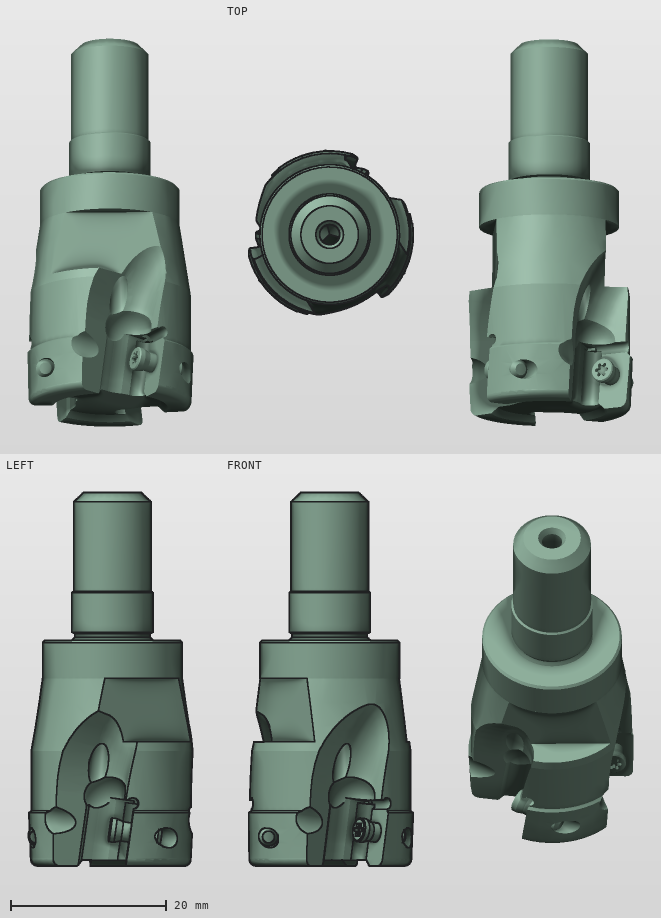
import cadquery as cq
import math


total_height = 48.0
shank_radius = 5.0
shank_tip_radius = 3.7
shank_tip_height = 1.25
collar_radius = 5.25
collar_top = 35.3
collar_bottom = 30.05
collar_chamfer = 0.2
neck_radius = 4.85
neck_bottom = 29.4
flange_radius = 9.0
flange_top = 29.0
flange_chamfer = 0.3
cone_top = 24.1
cone_bottom = 14.8
head_radius = 10.4
rim_top = 7.1
rim_step = 0.3
rim_top_radius = 10.75
rim_bottom_radius = 10.5
rim_corner = 0.95
dish_radius = 7.45
dish_core_radius = 6.6
dish_depth = 0.75

flat_distance = 7.0
flat_bottom = 15.95
flat_angle = 32.4

bore_radius = 1.3
bore_mouth_radius = 1.8
bore_mouth_depth = 0.7
bore_bottom = 37.45
coolant_radius = 1.25
coolant_exit_radius = 6.67
coolant_exit_height = 12.2
coolant_exit_angle = -76.0
coolant_overrun = 0.15

tooth_count = 3
tooth_angle = -59.0
axial_rake = 8.0
reach = 16.35
drop = 5.75

gullet_floor = 3.6
gullet_floor_angle = 22.5
gullet_wall = -3.6
gullet_wall_height = 9.65
gullet_wall_lean = 15.0
gullet_fillet = 3.4
runout_start = 8.65
runout_radius = 19.45
runout_sweep = 90.0

seat_depth = 1.55
pocket_top = 8.65
pocket_wall = [(5.8, -4.5), (5.35, -4.15), (4.75, -2.85), (4.45, -1.8), (4.45, -0.75)]
pocket_inner = 4.2
corner_relief_radius = 1.15
corner_relief_x = 5.25
corner_relief_y = 1.15
seat_relief_radius = 0.7
seat_relief_y = 1.35
seat_relief_z = 8.3
top_relief_radius = 3.0
top_relief_centre = (7.3, -2.3, 8.65)

screw_x = 7.95
screw_z = 4.55
screw_radius = 1.25
screw_head_radius = 1.55
screw_head_chamfer = 0.15
screw_head_rim = 0.75
screw_head_length = 1.65
screw_start = -1.15
screw_end = 5.55
screw_end_radius = 0.75
driver_hole_radius = 1.85
driver_hole_x = 8.05
driver_hole_z = 4.75
socket_radius = 0.62
socket_lobe_count = 6
socket_lobe_radius = 0.25
socket_lobe_circle = 0.7
socket_depth = 0.65


def to_tooth(shape, index):
    """Move a shape from the tooth frame to its place on tooth number `index`."""
    turn = tooth_angle + index * 360 / tooth_count
    leaning = shape.rotate((0, 0, 0), (1, 0, 0), -axial_rake)
    return leaning.rotate((0, 0, 0), (0, 0, 1), turn)


def along_seat_normal(x, z, y_start, y_end, radius):
    """Cylinder at right angles to the seat, in the tooth frame."""
    start = cq.Workplane("XZ", origin=(x, y_start, z))
    return start.circle(radius).extrude(y_start - y_end)


def make_blank():
    """Turned blank with shank, collar, flange, head and the recess in the cutting end."""
    outline = (
        cq.Workplane("XZ")
        .moveTo(0, dish_depth)
        .lineTo(dish_core_radius, dish_depth)
        .lineTo(dish_radius, 0)
        .lineTo(rim_bottom_radius - rim_corner, 0)
        .radiusArc((rim_bottom_radius, rim_corner), -rim_corner)
        .lineTo(rim_top_radius, rim_top - rim_step)
        .lineTo(head_radius, rim_top)
        .lineTo(head_radius, cone_bottom)
        .lineTo(flange_radius, cone_top)
        .lineTo(flange_radius, flange_top - flange_chamfer)
        .lineTo(flange_radius - flange_chamfer, flange_top)
        .lineTo(neck_radius + neck_bottom - flange_top, flange_top)
        .lineTo(neck_radius, neck_bottom)
        .lineTo(neck_radius, collar_bottom - (collar_radius - neck_radius) / 2)
        .lineTo(collar_radius, collar_bottom)
        .lineTo(collar_radius, collar_top - collar_chamfer)
        .lineTo(shank_radius, collar_top)
        .lineTo(shank_radius, total_height - shank_tip_height)
        .lineTo(shank_tip_radius, total_height)
        .lineTo(0, total_height)
        .close()
    )
    return outline.revolve(360, (0, 0, 0), (0, 1, 0))


def make_wrench_flats():
    """Two opposite blocks that leave the wrench flats."""
    height = cone_top - flat_bottom
    width = 2 * reach
    block = cq.Workplane("XY", origin=(0, 0, flat_bottom)).box(
        reach, width, height, centered=(False, True, False)
    )
    block = block.translate((flat_distance, 0, 0)).rotate((0, 0, 0), (0, 0, 1), flat_angle)
    return block.union(block.rotate((0, 0, 0), (0, 0, 1), 180))


def make_bore():
    """Central coolant bore with a conical mouth."""
    bore = cq.Workplane("XY", origin=(0, 0, bore_bottom)).circle(bore_radius)
    bore = bore.extrude(total_height - bore_bottom)
    mouth = cq.Solid.makeCone(
        bore_radius, bore_mouth_radius, bore_mouth_depth,
        pnt=cq.Vector(0, 0, total_height - bore_mouth_depth),
    )
    return bore.union(cq.Workplane(mouth))


def make_coolant_hole(index):
    """Slanted hole from the bottom of the bore to one gullet."""
    angle = math.radians(coolant_exit_angle + index * 360 / tooth_count)
    start = cq.Vector(0, 0, bore_bottom)
    mouth = cq.Vector(
        coolant_exit_radius * math.cos(angle),
        coolant_exit_radius * math.sin(angle),
        coolant_exit_height,
    )
    axis = mouth - start
    length = axis.Length * (1 + coolant_overrun)
    return cq.Workplane(cq.Solid.makeCylinder(coolant_radius, length, start, axis))


def make_gullet():
    """Chip gullet: a straight stretch and an arc that runs out through the head."""
    slope = math.tan(math.radians(gullet_wall_lean))

    def wall_at(height):
        return gullet_wall + (gullet_wall_height - height) * slope

    section = cq.Workplane("XY", origin=(0, 0, -drop)).polyline(
        [
            (gullet_floor, -reach),
            (gullet_floor, wall_at(gullet_floor)),
            (reach, wall_at(reach)),
            (reach, -reach),
        ]
    ).close()
    corner = cq.NearestToPointSelector((gullet_floor, wall_at(gullet_floor), 0))
    straight = section.extrude(drop + runout_start).edges("|Z").edges(corner)
    straight = straight.fillet(gullet_fillet)
    centre = gullet_floor + runout_radius
    runout = straight.faces(">Z").wires().toPending().workplane(origin=(0, 0, runout_start))
    runout = runout.revolve(runout_sweep, (centre, 0, 0), (centre, 1, 0), combine=False)
    return straight.union(runout).rotate((0, 0, 0), (0, 0, 1), gullet_floor_angle)


def make_pocket():
    """Insert pocket with its corner, seat and top reliefs."""
    step, edge, arc_start, arc_middle, arc_end = pocket_wall
    pocket = (
        cq.Workplane("XY", origin=(0, 0, -drop))
        .moveTo(*step)
        .lineTo(*edge)
        .lineTo(*arc_start)
        .threePointArc(arc_middle, arc_end)
        .lineTo(pocket_inner, seat_depth)
        .lineTo(reach, seat_depth)
        .lineTo(reach, step[1])
        .close()
        .extrude(drop + pocket_top)
    )
    corner_relief = (
        cq.Workplane("XY", origin=(corner_relief_x, corner_relief_y, -drop))
        .circle(corner_relief_radius)
        .extrude(drop + seat_relief_z)
    )
    seat_relief = (
        cq.Workplane("YZ", origin=(corner_relief_x, seat_relief_y, seat_relief_z))
        .circle(seat_relief_radius)
        .extrude(reach)
    )
    top_relief = cq.Workplane().sphere(top_relief_radius).translate(top_relief_centre)
    for relief in (corner_relief, seat_relief, top_relief):
        pocket = pocket.union(relief)
    return pocket


def make_screw():
    """Clamping screw with a six-lobed socket, in the tooth frame."""
    outline = (
        cq.Workplane("XY")
        .moveTo(0, screw_start)
        .lineTo(screw_head_radius - screw_head_chamfer, screw_start)
        .lineTo(screw_head_radius, screw_start + screw_head_chamfer)
        .lineTo(screw_head_radius, screw_start + screw_head_rim)
        .lineTo(screw_radius, screw_start + screw_head_length)
        .lineTo(screw_radius, screw_end - screw_radius + screw_end_radius)
        .lineTo(screw_end_radius, screw_end)
        .lineTo(0, screw_end)
        .close()
    )
    screw = outline.revolve(360, (0, 0, 0), (0, 1, 0))
    face = cq.Workplane("XZ", origin=(0, screw_start, 0))
    socket = face.circle(socket_radius).extrude(-socket_depth)
    lobes = face.polarArray(socket_lobe_circle, 0, 360, socket_lobe_count).circle(socket_lobe_radius)
    screw = screw.cut(socket).cut(lobes.extrude(-socket_depth))
    return screw.translate((screw_x, 0, screw_z))


def make_body():
    """Cutter body with everything cut from the blank."""
    body = make_blank().cut(make_wrench_flats()).cut(make_bore())
    gullet = make_gullet()
    pocket = make_pocket()
    screw_hole = along_seat_normal(screw_x, screw_z, 0, reach, screw_radius)
    driver_hole = along_seat_normal(
        driver_hole_x, driver_hole_z, -reach, screw_start, driver_hole_radius
    )
    for index in range(tooth_count):
        for tool in (gullet, pocket, screw_hole, driver_hole):
            body = body.cut(to_tooth(tool, index))
        body = body.cut(make_coolant_hole(index))
    return body


body = make_body()
screws = [to_tooth(make_screw(), index) for index in range(tooth_count)]
result = cq.Compound.makeCompound([body.val()] + [screw.val() for screw in screws])